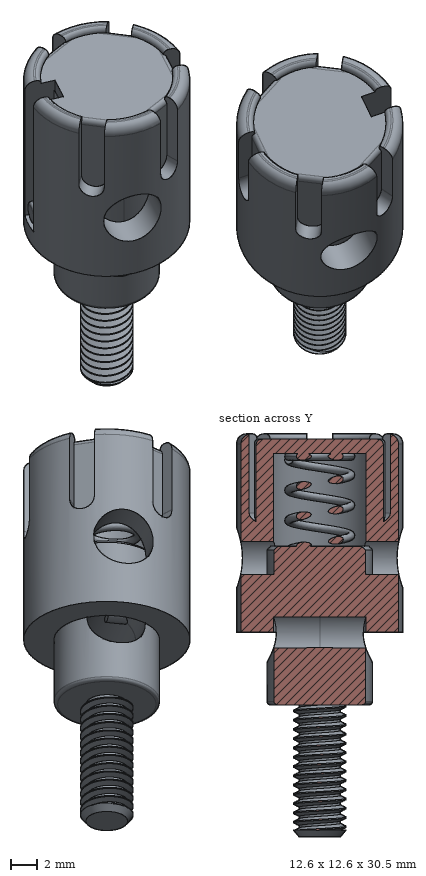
import cadquery as cq
import math

total_height = 30.5
sleeve_diameter = 12.6
sleeve_radius = sleeve_diameter / 2
sleeve_bottom = 15.45
cap_top = 30.1
cap_bottom = 29.0
rim_fillet = 0.75
cap_recess_radius = 5.0
recess_fillet = total_height - cap_top

window_diameter = 4.6
window_z = 21.1

slot_width = 1.95
slot_count = 6
slot_step = 360 / slot_count
slot_floor_distance = 5.15
slot_bottom = 23.55
guide_slot_bottom = 17.02
guide_slot_depth_radius = 3.8

plunger_diameter = 8.0
plunger_radius = plunger_diameter / 2
plunger_bottom = 9.97
plunger_top = 22.0
plunger_edge = 0.27
cross_hole_diameter = 4.5

pin_diameter = 1.83
pin_end_radius = 6.07
pin_fillet = 0.25
pin_z = guide_slot_bottom + slot_width / 2

spring_diameter = 5.3
wire_diameter = 0.6
coil_radius = (spring_diameter - wire_diameter) / 2
spring_pitch = 2.3
spring_turns = 3
spring_start_z = 21.65
end_coil_z = 28.8

thread_diameter = 4.0
thread_radius = thread_diameter / 2
thread_pitch = 0.7
thread_turns = 14
thread_start_z = 0.05
thread_depth_ratio = 0.61
thread_depth = thread_depth_ratio * thread_pitch
root_radius = thread_radius - thread_depth
crest_width = thread_pitch / 8
root_width = thread_pitch / 4
thread_overlap = 0.05
tip_height = 0.52


def quarter_arc_middle(center, radius, side):
    """Middle of an upper quarter arc; side is 1 for the outer quarter and -1 for the inner one."""
    offset = radius * math.sqrt(0.5)
    return center[0] + side * offset, center[1] + offset


def cylinder(radius, bottom, top):
    return cq.Workplane("XY").workplane(offset=bottom).circle(radius).extrude(top - bottom)


def cross_cylinder(diameter, z):
    """Cylinder along X that runs past both sides of the sleeve."""
    return cq.Workplane("YZ").center(0, z).circle(diameter / 2).extrude(sleeve_radius * 2, both=True)


def make_sleeve_body():
    """Revolved tube, cap and rounded rim."""
    outer_center = (sleeve_radius - rim_fillet, total_height - rim_fillet)
    inner_center = (cap_recess_radius + recess_fillet, cap_top)
    profile = (
        cq.Workplane("XZ")
        .moveTo(plunger_radius, sleeve_bottom)
        .lineTo(sleeve_radius, sleeve_bottom)
        .lineTo(sleeve_radius, outer_center[1])
        .threePointArc(
            quarter_arc_middle(outer_center, rim_fillet, 1),
            (outer_center[0], total_height),
        )
        .lineTo(inner_center[0], total_height)
        .threePointArc(
            quarter_arc_middle(inner_center, recess_fillet, -1),
            (cap_recess_radius, cap_top),
        )
        .lineTo(0, cap_top)
        .lineTo(0, cap_bottom)
        .lineTo(plunger_radius, cap_bottom)
        .close()
    )
    return profile.revolve(360, (0, 0, 0), (0, 1, 0))


def make_cap_edge_cut(width):
    """Material outside the rounded cap edge at the floor of a slot on the +X side."""
    arc_center = (slot_floor_distance - recess_fillet, cap_top - recess_fillet)
    return (
        cq.Workplane("XZ")
        .moveTo(slot_floor_distance, arc_center[1])
        .threePointArc(
            quarter_arc_middle(arc_center, recess_fillet, 1),
            (arc_center[0], cap_top),
        )
        .lineTo(arc_center[0], total_height)
        .lineTo(slot_floor_distance, total_height)
        .close()
        .extrude(width / 2, both=True)
    )


def make_side_slot():
    """Round-bottomed flat-floored slot on the +X side, with the rounded cap edge behind it."""
    slot_radius = slot_width / 2
    arc_z = slot_bottom + slot_radius
    groove = (
        cq.Workplane("YZ")
        .workplane(offset=slot_floor_distance)
        .moveTo(-slot_radius, total_height)
        .lineTo(-slot_radius, arc_z)
        .threePointArc((0, slot_bottom), (slot_radius, arc_z))
        .lineTo(slot_radius, total_height)
        .close()
        .extrude(sleeve_radius)
    )
    recess = cylinder(cap_recess_radius, slot_bottom, cap_top)
    cap_flat = make_cap_edge_cut(sleeve_radius).intersect(recess)
    return groove.union(make_cap_edge_cut(slot_width)).union(cap_flat)


def make_guide_slot():
    """Square-bottomed slot through the -Y wall and the edge of the cap."""
    return cq.Workplane("XY").box(
        slot_width,
        sleeve_radius,
        total_height - guide_slot_bottom,
        centered=(True, False, False),
    ).translate((0, -guide_slot_depth_radius - sleeve_radius, guide_slot_bottom))


def make_sleeve():
    """Sleeve with five side slots, the guide slot at the sixth position and the window."""
    sleeve = make_sleeve_body()
    side_slot = make_side_slot()
    for index in range(slot_count - 1):
        angle = -slot_step / 2 + index * slot_step
        sleeve = sleeve.cut(side_slot.rotate((0, 0, 0), (0, 0, 1), angle))
    return sleeve.cut(make_guide_slot()).cut(cross_cylinder(window_diameter, window_z))


def make_plunger():
    """Cylinder with a cross hole centered level with the sleeve bottom."""
    body = cylinder(plunger_radius, plunger_bottom, plunger_top)
    body = body.faces("<Z").edges().fillet(plunger_edge)
    body = body.faces(">Z").edges().chamfer(plunger_edge)
    return body.cut(cross_cylinder(cross_hole_diameter, sleeve_bottom))


def make_pin():
    """Radial pin toward -Y with a rounded end."""
    pin = cq.Workplane("XZ").center(0, pin_z).circle(pin_diameter / 2).extrude(pin_end_radius)
    return pin.faces("<Y").edges().fillet(pin_fillet)


def make_spring():
    """Right-hand coil starting on the -X side, with a flat end coil under the cap."""
    path = cq.Wire.makeHelix(spring_pitch, spring_pitch * spring_turns, coil_radius)
    wire_section = cq.Workplane("XZ").center(coil_radius, 0).circle(wire_diameter / 2)
    coil = wire_section.sweep(cq.Workplane(path), isFrenet=True)
    coil = coil.rotate((0, 0, 0), (0, 0, 1), 180).translate((0, 0, spring_start_z))
    end_coil = cq.Workplane(cq.Solid.makeTorus(coil_radius, wire_diameter / 2))
    return coil, end_coil.translate((0, 0, end_coil_z))


def make_thread():
    """Right-hand V ridge with helical faces, its base sunk below the root cylinder."""
    flank_slope = (thread_pitch - root_width - crest_width) / 2 / thread_depth
    base_radius = root_radius - thread_overlap
    half_base = crest_width / 2 + (thread_radius - base_radius) * flank_slope
    section = [
        (base_radius, -half_base),
        (thread_radius, -crest_width / 2),
        (thread_radius, crest_width / 2),
        (base_radius, half_base),
    ]
    rise = thread_pitch * thread_turns
    edges = [
        cq.Wire.makeHelix(thread_pitch, rise, radius).translate(cq.Vector(0, 0, z))
        for radius, z in section
    ]
    faces = [cq.Face.makeRuledSurface(edges[i - 1], edges[i]) for i in range(len(edges))]
    corners = [cq.Vector(radius, 0, z) for radius, z in section]
    start_face = cq.Face.makeFromWires(cq.Wire.makePolygon(corners, close=True))
    end_face = start_face.translate(cq.Vector(0, 0, rise))
    ridge = cq.Solid.makeSolid(cq.Shell.makeShell(faces + [start_face, end_face]))
    return cq.Workplane(ridge).translate((0, 0, thread_start_z))


def make_stud():
    """Threaded core with a conical tip."""
    stud_top = plunger_bottom + plunger_edge
    core = cylinder(root_radius, 0, stud_top)
    envelope = (
        cq.Workplane("XZ")
        .polyline([
            (0, 0),
            (root_radius, 0),
            (thread_radius, tip_height),
            (thread_radius, stud_top),
            (0, stud_top),
        ])
        .close()
        .revolve(360, (0, 0, 0), (0, 1, 0))
    )
    tip = envelope.intersect(cylinder(sleeve_radius, 0, tip_height))
    thread = make_thread().intersect(envelope)
    return core.union(tip).union(thread)


coil, end_coil = make_spring()
result = (
    make_sleeve()
    .union(make_plunger())
    .union(make_pin())
    .union(coil)
    .union(end_coil)
    .union(make_stud())
)